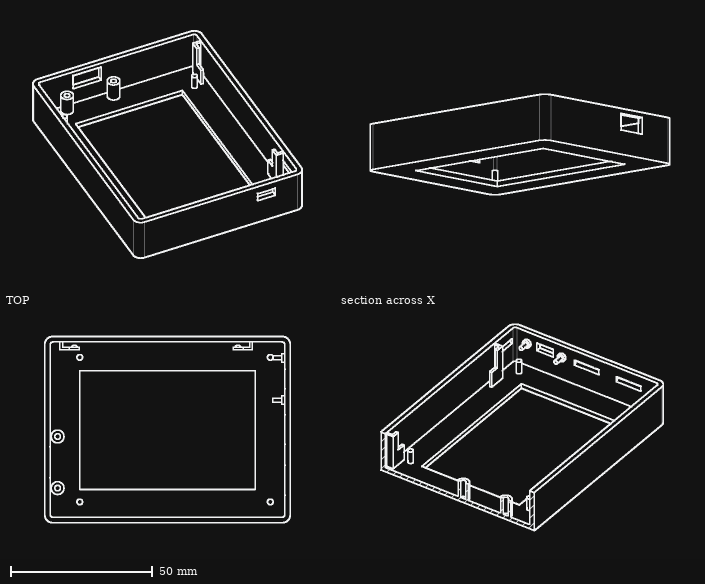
import cadquery as cq

LENGTH = 87.0
WIDTH = 66.0
HEIGHT = 16.5
WALL = 2.0
FLOOR = 2.0
OUTER_RADIUS = 3.0
INNER_RADIUS = OUTER_RADIUS - WALL

INNER_X = LENGTH / 2 - WALL
INNER_Y = WIDTH / 2 - WALL

WINDOW_LENGTH = 62.0
WINDOW_WIDTH = 41.9
WINDOW_Y = -0.2

PIN_DIAMETER = 2.0
PIN_HEIGHT = 5.0
PIN_LEFT_X = -31.1
PIN_RIGHT_X = 36.4
PIN_Y = 25.6

PORT_WIDTH = 11.0
PORT_HEIGHT = 6.0
PORT_Y = -11.6
PORT_BOTTOM = 8.7
BOSS_DIAMETER = 4.5
BOSS_HOLE_DIAMETER = 2.0
BOSS_HEIGHT = 7.0
BOSS_X = -38.9
BOSS_SPACING = 18.3

SOCKET_WIDTH = 7.0
SOCKET_HEIGHT = 3.2
SOCKET_Y = 17.9
SOCKET_Z = 11.7
PEG_SPACING = 15.0
PEG_Z = 11.75
PEG_DIAMETER = 1.5
PEG_LENGTH = 4.2
PEG_COLLAR_DIAMETER = 3.0
PEG_COLLAR_LENGTH = 1.05

GROOVE_DIAMETER = 2.0
GROOVE_LENGTH = 10.5
GROOVE_Z = 11.2
GROOVE_SPACING = 17.9
BACK_GROOVE_X = 34.7

CLIP_CENTER_X = -4.0
CLIP_SPAN = 68.1
CLIP_THICKNESS = 1.0
CLIP_DEPTH = 2.8
CLIP_LENGTH = 6.8
CLIP_POST_LENGTH = 3.2
CLIP_POST_TOP = 15.8
CLIP_STEP_TOP = 8.35
NUB_DIAMETER = 2.0
NUB_SETBACK = 0.3
NUB_FROM_END = 1.65


def box_between(x_range, y_range, z_range):
    """Box spanning the given (start, end) pairs on each axis."""
    sizes = [end - start for start, end in (x_range, y_range, z_range)]
    corner = (x_range[0], y_range[0], z_range[0])
    return cq.Workplane("XY").box(*sizes, centered=False).translate(corner)


def rod(start, direction, diameter, length):
    """Cylinder starting at a point and running along a direction."""
    solid = cq.Solid.makeCylinder(diameter / 2, length, cq.Vector(*start), cq.Vector(*direction))
    return cq.Workplane(solid)


def make_frame():
    outside = cq.Workplane("XY").box(LENGTH, WIDTH, HEIGHT, centered=(True, True, False))
    outside = outside.edges("|Z").fillet(OUTER_RADIUS)
    cavity = cq.Workplane("XY").workplane(offset=FLOOR).rect(2 * INNER_X, 2 * INNER_Y)
    cavity = cavity.extrude(HEIGHT - FLOOR).edges("|Z").fillet(INNER_RADIUS)
    window = cq.Workplane("XY").center(0, WINDOW_Y).rect(WINDOW_LENGTH, WINDOW_WIDTH).extrude(FLOOR)
    return outside.cut(cavity).cut(window)


def make_display_pins():
    corners = [(x, y) for x in (PIN_LEFT_X, PIN_RIGHT_X) for y in (-PIN_Y, PIN_Y)]
    pins = cq.Workplane("XY").workplane(offset=FLOOR).pushPoints(corners)
    return pins.circle(PIN_DIAMETER / 2).extrude(PIN_HEIGHT)


def make_screw_bosses():
    centers = [(BOSS_X, PORT_Y + side * BOSS_SPACING / 2) for side in (-1, 1)]
    bosses = cq.Workplane("XY").workplane(offset=FLOOR).pushPoints(centers)
    return bosses.circle(BOSS_DIAMETER / 2).circle(BOSS_HOLE_DIAMETER / 2).extrude(BOSS_HEIGHT)


def make_port_opening():
    return box_between(
        (-LENGTH / 2, -INNER_X),
        (PORT_Y - PORT_WIDTH / 2, PORT_Y + PORT_WIDTH / 2),
        (PORT_BOTTOM, PORT_BOTTOM + PORT_HEIGHT),
    )


def make_socket_opening():
    return box_between(
        (INNER_X, LENGTH / 2),
        (SOCKET_Y - SOCKET_WIDTH / 2, SOCKET_Y + SOCKET_WIDTH / 2),
        (SOCKET_Z - SOCKET_HEIGHT / 2, SOCKET_Z + SOCKET_HEIGHT / 2),
    )


def make_peg(y):
    root = (INNER_X, y, PEG_Z)
    inward = (-1, 0, 0)
    collar = rod(root, inward, PEG_COLLAR_DIAMETER, PEG_COLLAR_LENGTH)
    return collar.union(rod(root, inward, PEG_DIAMETER, PEG_LENGTH))


def make_clip(side):
    """Clip with its corner toward -X (side = -1) or +X (side = 1)."""
    corner_x = CLIP_CENTER_X + side * CLIP_SPAN / 2
    front_y = INNER_Y - CLIP_DEPTH
    back_y = front_y + CLIP_THICKNESS

    def plate(length, y_end, top):
        x_range = sorted((corner_x, corner_x - side * length))
        return box_between(x_range, (front_y, y_end), (FLOOR, top))

    return_leg = plate(CLIP_THICKNESS, INNER_Y, CLIP_POST_TOP)
    post = plate(CLIP_POST_LENGTH, back_y, CLIP_POST_TOP)
    step = plate(CLIP_LENGTH, back_y, CLIP_STEP_TOP)

    nub_x = corner_x - side * (CLIP_LENGTH - NUB_FROM_END)
    nub_center = (nub_x, back_y - NUB_SETBACK, (FLOOR + CLIP_STEP_TOP) / 2)
    nub = cq.Workplane("XY").sphere(NUB_DIAMETER / 2).translate(nub_center)
    in_front = box_between(
        (nub_x - NUB_DIAMETER, nub_x + NUB_DIAMETER),
        (front_y - NUB_DIAMETER, front_y),
        (FLOOR, CLIP_STEP_TOP),
    )
    return return_leg.union(post).union(step).union(nub.cut(in_front))


def make_grooves():
    half_length = GROOVE_LENGTH / 2
    back_start = (BACK_GROOVE_X - half_length, INNER_Y, GROOVE_Z)
    grooves = rod(back_start, (1, 0, 0), GROOVE_DIAMETER, GROOVE_LENGTH)
    for center_y in (0, -GROOVE_SPACING):
        right_start = (INNER_X, center_y - half_length, GROOVE_Z)
        grooves = grooves.union(rod(right_start, (0, 1, 0), GROOVE_DIAMETER, GROOVE_LENGTH))
    return grooves


result = make_frame().cut(make_grooves()).cut(make_port_opening()).cut(make_socket_opening())
result = result.union(make_display_pins()).union(make_screw_bosses())
for side in (-1, 1):
    result = result.union(make_peg(SOCKET_Y + side * PEG_SPACING / 2))
    result = result.union(make_clip(side))